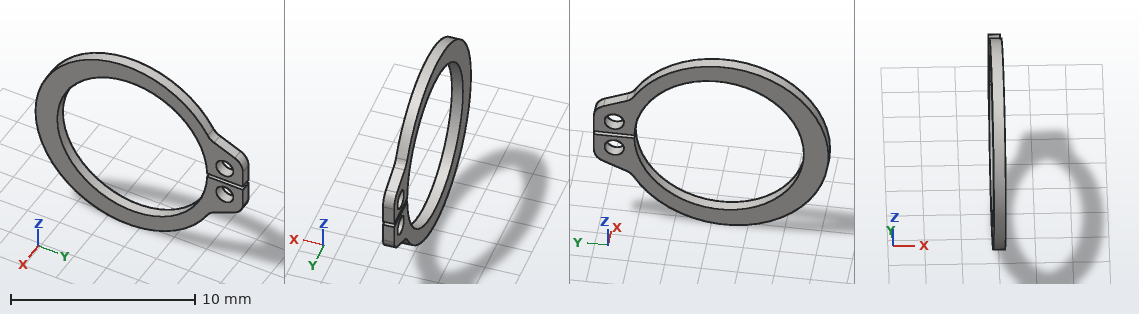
import cadquery as cq
import math

length = 12.88
thickness = 0.65
height = 11.48
outer_radius = height / 2
inner_radius = 4.65
bore_offset = 0.27

lug_end = length - outer_radius
lug_corner_height = 1.76
lug_slope = math.radians(23.7)
lug_round = 0.86
hole_y = 6.01
hole_z = 0.94
hole_radius = 0.53

gap_start = bore_offset
gap_half_start = 0.09
gap_half_end = 0.12


def make_outline():
    """Disc with both lugs still joined, corners rounded and blended."""
    lug_root = inner_radius
    root_height = lug_corner_height + (lug_end - lug_root) * math.tan(lug_slope)
    lugs = (
        cq.Workplane("YZ")
        .moveTo(lug_root, -root_height)
        .lineTo(lug_end, -lug_corner_height)
        .lineTo(lug_end, lug_corner_height)
        .lineTo(lug_root, root_height)
        .close()
        .extrude(thickness)
    )
    disc = cq.Workplane("YZ").circle(outer_radius).extrude(thickness)
    lowest_corner = lug_corner_height / 2
    upper_corners = cq.selectors.BoxSelector(
        (0, lug_root, lowest_corner), (thickness, length, outer_radius)
    )
    lower_corners = cq.selectors.BoxSelector(
        (0, lug_root, -outer_radius), (thickness, length, -lowest_corner)
    )
    lug_corners = upper_corners + lower_corners
    return disc.union(lugs).edges("|X").edges(lug_corners).fillet(lug_round)


def make_bore():
    return cq.Workplane("YZ").center(bore_offset, 0).circle(inner_radius).extrude(thickness)


def make_gap():
    return (
        cq.Workplane("YZ")
        .moveTo(gap_start, -gap_half_start)
        .lineTo(lug_end, -gap_half_end)
        .lineTo(lug_end, gap_half_end)
        .lineTo(gap_start, gap_half_start)
        .close()
        .extrude(thickness)
    )


def make_plier_holes():
    centres = [(hole_y, hole_z), (hole_y, -hole_z)]
    return cq.Workplane("YZ").pushPoints(centres).circle(hole_radius).extrude(thickness)


result = make_outline().cut(make_bore()).cut(make_gap()).cut(make_plier_holes())